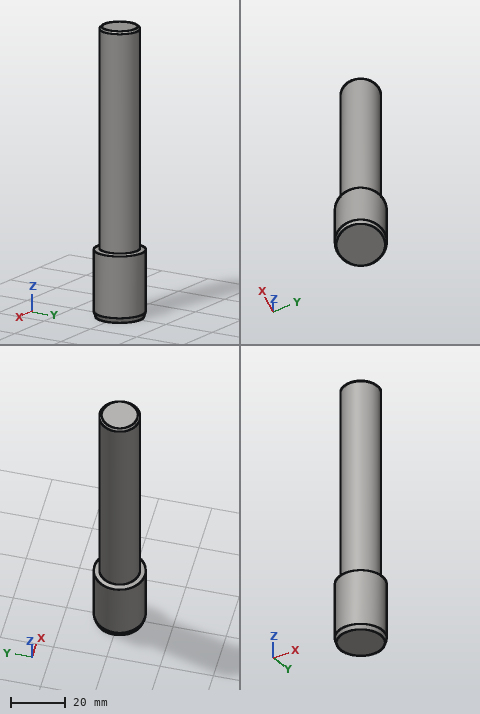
import cadquery as cq

total_length = 110.0
shank_diameter = 15.0
shank_chamfer = 0.9
head_diameter = 19.0
head_length = 26.0
shoulder_rise = 0.5
lead_in_height = 2.0
lead_in_width = 0.7

shank_radius = shank_diameter / 2
head_radius = head_diameter / 2


def make_head():
    """Turned head with a tapered lower end and a shallow conical shoulder."""
    half_profile = (
        cq.Workplane("XZ")
        .polyline([
            (0, 0),
            (head_radius - lead_in_width, 0),
            (head_radius, lead_in_height),
            (head_radius, head_length - shoulder_rise),
            (shank_radius, head_length),
            (0, head_length),
        ])
        .close()
    )
    return half_profile.revolve(360, (0, 0), (0, 1))


def make_shank():
    """Round shank seated on the flat top of the head, chamfered at its free end."""
    return (
        cq.Workplane("XY", origin=(0, 0, head_length))
        .circle(shank_radius)
        .extrude(total_length - head_length)
        .faces(">Z")
        .chamfer(shank_chamfer)
    )


head = make_head()
shank = make_shank()

result = cq.Compound.makeCompound([head.val(), shank.val()])